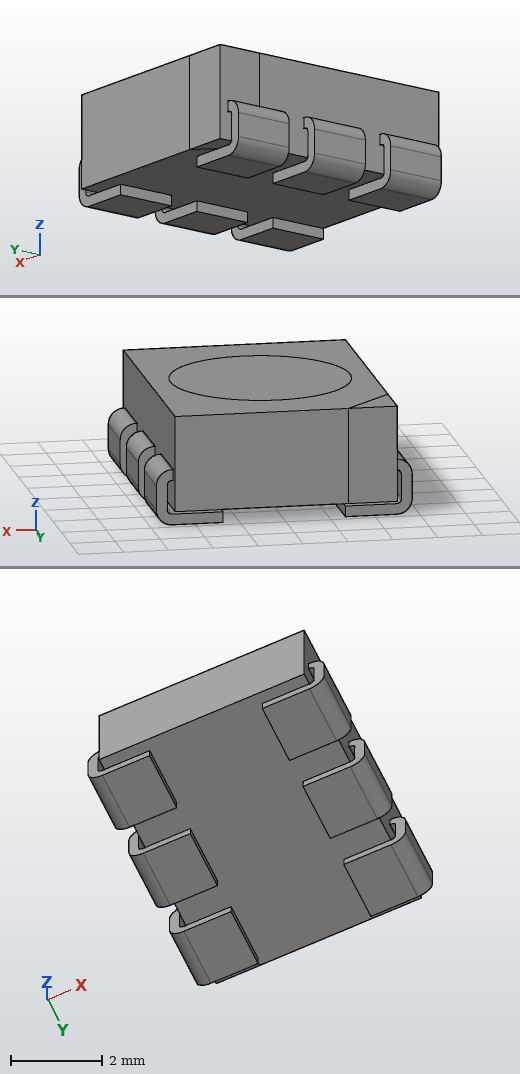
import cadquery as cq

body_length = 6.05
body_width = 4.95
total_height = 2.5
standoff = 0.35
body_height = total_height - standoff

lead_count = 3
lead_pitch = 2.105
lead_width = 1.405
lead_span = 5.7
lead_thickness = 0.24
lead_height = 1.245
foot_length = 1.49
outer_bend_radius = 0.35
inner_bend_radius = outer_bend_radius - lead_thickness

lens_diameter = 4.0
lens_depth = total_height - lead_height
corner_leg = 1.09


def make_lead(y_center):
    """One continuous strip with a C-shaped fold and an inward foot at each end."""
    y_start = y_center - lead_width / 2
    outer = (
        cq.Workplane("XY")
        .box(lead_span, lead_width, lead_height, centered=(True, False, False))
        .edges("|Y")
        .fillet(outer_bend_radius)
    )
    inner = (
        cq.Workplane("XY")
        .box(
            lead_span - 2 * lead_thickness,
            lead_width,
            lead_height - 2 * lead_thickness,
            centered=(True, False, False),
        )
        .edges("|Y")
        .fillet(inner_bend_radius)
        .translate((0, 0, lead_thickness))
    )
    foot_gap = cq.Workplane("XY").box(
        lead_span - 2 * foot_length, lead_width, lead_thickness, centered=(True, False, False)
    )
    return outer.cut(inner).cut(foot_gap).translate((0, y_start, 0))


def make_lens():
    """Round encapsulant, flush with the housing top."""
    return (
        cq.Workplane("XY")
        .workplane(offset=total_height - lens_depth)
        .circle(lens_diameter / 2)
        .extrude(lens_depth)
    )


def make_corner_mark(leads):
    """Full-height triangular prism at the -X, +Y corner, slotted for its lead."""
    corner_x = -body_width / 2
    corner_y = body_length / 2
    mark = (
        cq.Workplane("XY")
        .workplane(offset=standoff)
        .moveTo(corner_x, corner_y)
        .lineTo(corner_x + corner_leg, corner_y)
        .lineTo(corner_x, corner_y - corner_leg)
        .close()
        .extrude(body_height)
    )
    for lead in leads:
        mark = mark.cut(lead)
    return mark


def make_housing(leads, lens, corner_mark):
    """Rectangular block with matching recesses for every body set into it."""
    housing = (
        cq.Workplane("XY")
        .box(body_width, body_length, body_height, centered=(True, True, False))
        .translate((0, 0, standoff))
    )
    for inset in [*leads, lens, corner_mark]:
        housing = housing.cut(inset)
    return housing


leads = []
for index in range(lead_count):
    y_center = (index - (lead_count - 1) / 2) * lead_pitch
    leads.append(make_lead(y_center))

lens = make_lens()
corner_mark = make_corner_mark(leads)
housing = make_housing(leads, lens, corner_mark)

result = cq.Compound.makeCompound(
    [housing.val(), lens.val(), corner_mark.val(), *[lead.val() for lead in leads]]
)